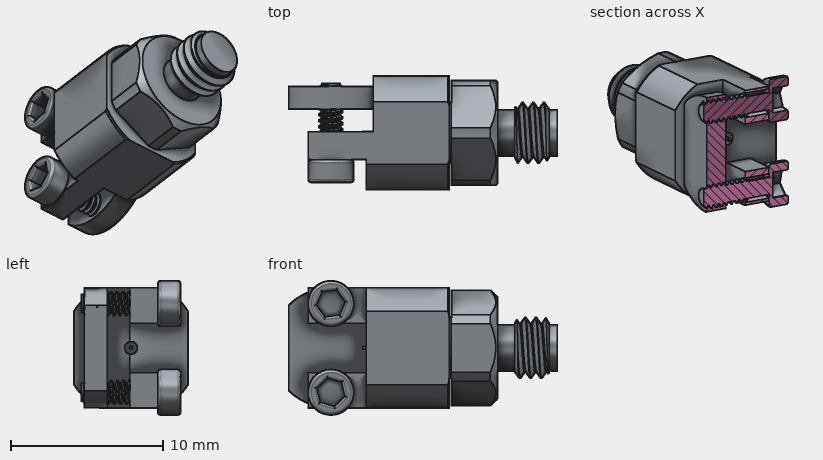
import cadquery as cq
import math


thread_lead_angle = 60.0
ridge_overlap = 0.03

screw_x = -2.32
screw_z = 2.915
head_radius = 1.5
head_height = 1.5
head_fillet = 0.2
shank_length = 5.03
screw_crest_radius = 0.79
screw_root_radius = 0.6
screw_pitch = 0.4
screw_crest_flat = 0.06
screw_root_flat = 0.1
screw_neck_length = 1.57
screw_tip_length = 0.12
socket_flats = 1.65
socket_fillet = 0.15
socket_depth = 1.2
upper_screw_turn = 6.5
lower_screw_turn = -16.5

housing_width = 7.5
housing_height = 7.92
housing_diameter = 8.92
housing_length = 5.45
housing_chamfer = 0.1
upper_face_x = 0.45

ear_length = 3.82
ear_back_y = 0.08
ear_front_y = -1.76
ear_gap = 3.24
screw_clearance = 0.03

plate_thickness = 1.5
plate_y = 1.56
plate_radius = 3.95
plate_left_x = 2 * screw_x - upper_face_x

contact_bore_diameter = 0.83
contact_bore_depth = 1.0
contact_pin_diameter = 0.2
contact_pin_reach = 0.22

neck_radius = 2.0
collar_start = 5.6
collar_end = 8.64
collar_flats = 6.9
collar_corner_radius = 3.8
collar_chamfer = 0.48
barrel_radius = 1.525
barrel_end = 12.55
thread_start = 9.75
thread_end = 12.01
thread_crest_radius = 2.0
thread_root_radius = 1.62
thread_pitch = 0.7
thread_crest_flat = 0.06
thread_root_flat = 0.1
thread_turn = 180.0


def hexagon_diameter(flats):
    """Diameter over the corners of a hexagon with the given width across flats."""
    return flats / math.cos(math.radians(30))


def threaded_rod(root_radius, crest_radius, pitch, length, crest_flat, root_flat):
    """Right-hand threaded rod on Z from 0 to length, turned to a cone at both ends."""
    slope = (pitch - root_flat - crest_flat) / 2 / (crest_radius - root_radius)
    half_crest = crest_flat / 2
    half_base = half_crest + slope * (crest_radius - root_radius + ridge_overlap)
    base_radius = root_radius - ridge_overlap
    helix = cq.Wire.makeHelix(pitch, length + 2 * pitch, root_radius)
    profile = cq.Workplane("XZ").polyline([
        (base_radius, -half_base),
        (crest_radius, -half_crest),
        (crest_radius, half_crest),
        (base_radius, half_base),
    ]).close()
    ridge = profile.sweep(cq.Workplane(helix), isFrenet=True)
    core = cq.Workplane("XY").circle(root_radius).extrude(length + 2 * pitch)
    outer_radius = crest_radius + ridge_overlap
    lead = (outer_radius - root_radius) / math.tan(math.radians(thread_lead_angle))
    envelope = cq.Workplane("XZ").polyline([
        (0, 0),
        (root_radius, 0),
        (outer_radius, lead),
        (outer_radius, length - lead),
        (root_radius, length),
        (0, length),
    ]).close().revolve(360, (0, 0), (0, 1)).translate((0, 0, pitch))
    return core.union(ridge).intersect(envelope).translate((0, 0, -pitch))


def x_cylinder(radius, start, end):
    """Cylinder on the X axis between two stations."""
    return cq.Workplane("YZ").workplane(offset=start).circle(radius).extrude(end - start)


def y_cylinder(radius, z, start, end):
    """Cylinder along Y on a screw axis."""
    plane = cq.Plane(origin=(screw_x, start, z), xDir=(1, 0, 0), normal=(0, 1, 0))
    return cq.Workplane(plane).circle(radius).extrude(end - start)


def box_between(low, high):
    """Box given by two opposite corners."""
    size = [b - a for a, b in zip(low, high)]
    return cq.Workplane("XY").box(*size, centered=False).translate(low)


def make_screw(z, turn):
    """Socket-head screw pointing along +Y, turned about its own axis."""
    head = cq.Workplane("XY").circle(head_radius).extrude(-head_height)
    head = head.faces("<Z or >Z").edges().fillet(head_fillet)
    socket = (
        cq.Workplane("XY").workplane(offset=-head_height)
        .polygon(6, hexagon_diameter(socket_flats)).extrude(socket_depth)
    )
    head = head.cut(socket)
    head = head.faces("<Z").edges("%LINE").fillet(socket_fillet)
    core = cq.Workplane("XY").circle(screw_root_radius).extrude(shank_length)
    thread_length = shank_length - screw_neck_length - screw_tip_length
    thread = threaded_rod(
        screw_root_radius, screw_crest_radius, screw_pitch, thread_length,
        screw_crest_flat, screw_root_flat,
    ).translate((0, 0, screw_neck_length))
    screw = head.union(core).union(thread)
    screw = screw.rotate((0, 0, 0), (0, 0, 1), -turn)
    screw = screw.rotate((0, 0, 0), (1, 0, 0), -90)
    return screw.translate((screw_x, ear_front_y, z))


def make_block():
    """Housing block with its stepped board-side face and the two ears."""
    section = cq.Workplane("YZ").rect(housing_width, housing_height).extrude(housing_length)
    block = section.intersect(
        x_cylinder(housing_diameter / 2, 0, housing_length).faces(">X").chamfer(housing_chamfer)
    )
    half_width = housing_width / 2
    half_height = housing_height / 2
    block = block.cut(
        box_between((0, ear_back_y, -half_height), (upper_face_x, half_width, half_height))
    )
    ears = box_between((-ear_length, ear_front_y, -half_height), (upper_face_x, ear_back_y, half_height))
    gap = box_between((-ear_length, ear_front_y, -ear_gap / 2), (0, ear_back_y, ear_gap / 2))
    block = block.union(ears.cut(gap))
    for z in (screw_z, -screw_z):
        block = block.cut(y_cylinder(screw_crest_radius + screw_clearance, z, ear_front_y, ear_back_y))
    return block


def make_collar():
    """Hexagonal collar with turned corners and a chamfer at its outer end."""
    length = collar_end - collar_start
    hexagon = (
        cq.Workplane("YZ").workplane(offset=collar_start)
        .polygon(6, hexagon_diameter(collar_flats)).extrude(length)
        .rotate((0, 0, 0), (1, 0, 0), 30)
    )
    turned = x_cylinder(collar_corner_radius, collar_start, collar_end)
    return hexagon.intersect(turned.faces(">X").chamfer(collar_chamfer))


def make_housing():
    """Block, collar, threaded barrel and coaxial contact as one solid."""
    thread = (
        threaded_rod(
            thread_root_radius, thread_crest_radius, thread_pitch, thread_end - thread_start,
            thread_crest_flat, thread_root_flat,
        )
        .rotate((0, 0, 0), (0, 0, 1), thread_turn)
        .rotate((0, 0, 0), (0, 1, 0), 90)
        .translate((thread_start, 0, 0))
    )
    bore = x_cylinder(contact_bore_diameter / 2, 0, contact_bore_depth)
    pin = x_cylinder(contact_pin_diameter / 2, -contact_pin_reach, contact_bore_depth)
    return (
        make_block()
        .union(x_cylinder(neck_radius, housing_length, collar_start))
        .union(make_collar())
        .union(x_cylinder(barrel_radius, collar_end, barrel_end))
        .union(thread)
        .cut(bore)
        .union(pin)
    )


def make_plate(screws):
    """Clamp plate with holes that match the screw threads."""
    plane = cq.Plane(origin=(screw_x, plate_y, 0), xDir=(1, 0, 0), normal=(0, 1, 0))
    disc = cq.Workplane(plane).circle(plate_radius).extrude(plate_thickness)
    width = upper_face_x - plate_left_x
    flats = cq.Workplane(plane).rect(width, 2 * plate_radius).extrude(plate_thickness)
    plate = disc.intersect(flats)
    for screw in screws:
        plate = plate.cut(screw)
    return plate


screw_turns = {screw_z: upper_screw_turn, -screw_z: lower_screw_turn}
screws = [make_screw(z, turn) for z, turn in screw_turns.items()]
housing = make_housing()
plate = make_plate(screws)

bodies = [housing, plate, *screws]
result = cq.Compound.makeCompound([body.solids().val() for body in bodies])